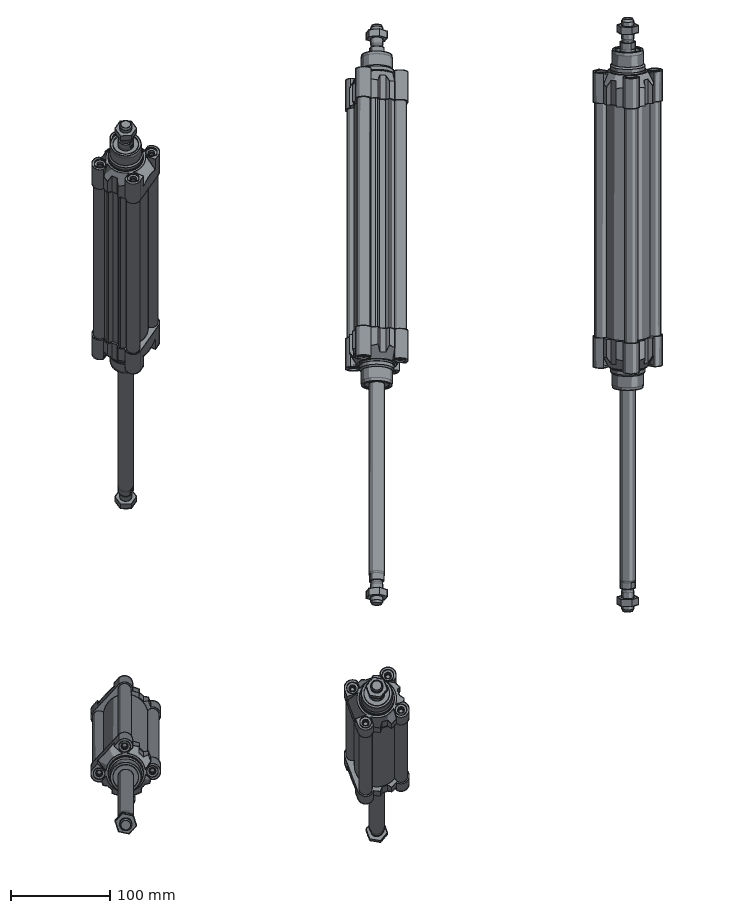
import cadquery as cq
import math


TOTAL_LENGTH = 613.0
CAP_TO_TIP = 54.0
BODY_BOTTOM = 254.0
BODY_TOP = TOTAL_LENGTH - CAP_TO_TIP
CAP_HEIGHT = 31.0
BARREL_BOTTOM = BODY_BOTTOM + CAP_HEIGHT
BARREL_TOP = BODY_TOP - CAP_HEIGHT

CAP_WIDTH = 54.5
POST_DIAMETER = 16.5
POST_OFFSET = (CAP_WIDTH - POST_DIAMETER) / 2
BARREL_WIDTH = 51.5
LOBE_DIAMETER = BARREL_WIDTH - 2 * POST_OFFSET
BARREL_WALL_DIAMETER = 45.5

RIB_FOOT_HALF = 12.0
RIB_FOOT_DEPTH = 24.0
RIB_PEAK_HALF = 6.0
RIB_PEAK_DEPTH = 27.0
SLOT_FLOOR_HALF = 3.0
SLOT_FLOOR_DEPTH = 23.0
BARREL_RIB_DROP = 2.0
BARREL_RIB_TIP_WIDTH = 2.0

RELIEF_TOP_DIAMETER = 40.0
RELIEF_DEPTH = 15.5
RELIEF_FLARE = 0.6

SCREW_HOLE_STEPS = [(11.5, 2.0), (7.0, 5.0), (5.0, 9.0)]

COLLAR_FOOT_DIAMETER = 35.5
COLLAR_FOOT_HEIGHT = 2.0
COLLAR_DIAMETER = 35.0
COLLAR_HEIGHT = 5.5
COLLAR_CHAMFER = 2.0
BOSS_DIAMETER = 32.0
BOSS_HEIGHT = 22.0
BOSS_CHAMFER_WIDTH = 0.5
BOSS_CHAMFER_HEIGHT = 3.0
SEAL_RECESS_DIAMETER = 26.0
SEAL_RECESS_DEPTH = 1.0

ROD_DIAMETER = 16.0
THREAD_DIAMETER = 12.0
THREAD_LENGTH = 24.0
TIP_DIAMETER = 10.0
TIP_HEIGHT = 2.5
UNDERCUT_DIAMETER = 11.5
UNDERCUT_LENGTH = 2.0
UNDERCUT_TAPER = 2.0
NECK_DIAMETER = 15.5
NECK_TAPER = 2.0
WRENCH_WIDTH = 13.5
WRENCH_LENGTH = 7.0

NUT_ACROSS_FLATS = 19.0
NUT_THICKNESS = 7.5
NUT_TIP_DISTANCE = 7.0


def corner_points():
    return [(x, y) for x in (-POST_OFFSET, POST_OFFSET) for y in (-POST_OFFSET, POST_OFFSET)]


def mirrored_profile(half_outline, height):
    """Extrude a half outline of (x, depth) points, mirrored in X, on the -Y side."""
    right = [(x, -depth) for x, depth in half_outline]
    left = [(-x, y) for x, y in reversed(right)]
    return cq.Workplane("XY").polyline(right + left).close().extrude(height)


def ribbed_side(drop, height, tip_width=0):
    """Block from the axis to two ribs on -Y, lowered by `drop`, before the slot is cut."""
    half_outline = [(RIB_FOOT_HALF, 0), (RIB_FOOT_HALF, RIB_FOOT_DEPTH - drop)]
    if tip_width > 0:
        half_outline.append((RIB_PEAK_HALF + tip_width, RIB_PEAK_DEPTH - drop))
    half_outline.append((RIB_PEAK_HALF, RIB_PEAK_DEPTH - drop))
    return mirrored_profile(half_outline, height)


def rib_slot(drop, height):
    """V-walled slot between the two ribs of a -Y side."""
    half_outline = [
        (RIB_PEAK_HALF, RIB_PEAK_DEPTH - drop),
        (SLOT_FLOOR_HALF, SLOT_FLOOR_DEPTH - drop),
    ]
    return mirrored_profile(half_outline, height)


def make_barrel():
    """Round wall with four corner lobes; the -Y side carries a ribbed sensor slot."""
    height = BARREL_TOP - BARREL_BOTTOM
    barrel = cq.Workplane("XY").circle(BARREL_WALL_DIAMETER / 2).extrude(height)
    lobes = cq.Workplane("XY").pushPoints(corner_points()).circle(LOBE_DIAMETER / 2).extrude(height)
    barrel = barrel.union(lobes)
    barrel = barrel.union(ribbed_side(BARREL_RIB_DROP, height, BARREL_RIB_TIP_WIDTH))
    barrel = barrel.cut(rib_slot(BARREL_RIB_DROP, height))
    return barrel.translate((0, 0, BARREL_BOTTOM))


def cap_block():
    """Four posts joined by a square core, ribbed on three sides and flat on +X."""
    core_width = 2 * POST_OFFSET
    block = cq.Workplane("XY").rect(core_width, core_width).extrude(CAP_HEIGHT)
    posts = cq.Workplane("XY").pushPoints(corner_points()).circle(POST_DIAMETER / 2).extrude(CAP_HEIGHT)
    block = block.union(posts)
    for angle in (0, -90, 180):
        side = ribbed_side(0, CAP_HEIGHT).cut(rib_slot(0, CAP_HEIGHT))
        block = block.union(side.rotate((0, 0, 0), (0, 0, 1), angle))
    flat_side = cq.Workplane("XY").rect(CAP_WIDTH / 2, core_width).extrude(CAP_HEIGHT)
    return block.union(flat_side.translate((CAP_WIDTH / 4, 0, 0)))


def cap_relief():
    """Space outside the cone, limited to the strips between the posts."""
    top_radius = RELIEF_TOP_DIAMETER / 2
    bottom_radius = top_radius + RELIEF_FLARE * RELIEF_DEPTH
    outer = CAP_WIDTH
    bottom = CAP_HEIGHT - RELIEF_DEPTH
    ring = (
        cq.Workplane("XZ")
        .polyline([(top_radius, CAP_HEIGHT), (outer, CAP_HEIGHT), (outer, bottom), (bottom_radius, bottom)])
        .close()
        .revolve()
    )
    strip = 2 * RIB_FOOT_HALF
    cross = cq.Workplane("XY").rect(2 * outer, strip).extrude(CAP_HEIGHT)
    cross = cross.union(cq.Workplane("XY").rect(strip, 2 * outer).extrude(CAP_HEIGHT))
    return ring.intersect(cross)


def cap_boss():
    """Collar and boss turned as one, standing on the outer face of the cap."""
    collar_radius = COLLAR_DIAMETER / 2
    foot_radius = COLLAR_FOOT_DIAMETER / 2
    boss_radius = BOSS_DIAMETER / 2
    outline = [
        (0, 0),
        (foot_radius, 0),
        (foot_radius, COLLAR_FOOT_HEIGHT),
        (collar_radius, COLLAR_FOOT_HEIGHT),
        (collar_radius, COLLAR_HEIGHT),
        (boss_radius, COLLAR_HEIGHT + COLLAR_CHAMFER),
        (boss_radius, BOSS_HEIGHT - BOSS_CHAMFER_HEIGHT),
        (boss_radius - BOSS_CHAMFER_WIDTH, BOSS_HEIGHT),
        (0, BOSS_HEIGHT),
    ]
    boss = cq.Workplane("XZ").polyline(outline).close().revolve()
    return boss.translate((0, 0, CAP_HEIGHT))


def make_cap():
    """Cap with its inner face on Z = 0 and its boss pointing up."""
    cap = cap_block().cut(cap_relief()).union(cap_boss())
    cap = (
        cap.faces(">Z")
        .workplane(origin=(0, 0, 0))
        .circle(SEAL_RECESS_DIAMETER / 2)
        .cutBlind(-SEAL_RECESS_DEPTH)
    )
    post_tops = cq.Workplane("XY", origin=(0, 0, CAP_HEIGHT)).pushPoints(corner_points())
    for diameter, depth in SCREW_HOLE_STEPS:
        cap = cap.cut(post_tops.circle(diameter / 2).extrude(-depth))
    rod_hole = cq.Workplane("XY").circle(ROD_DIAMETER / 2).extrude(CAP_HEIGHT + BOSS_HEIGHT)
    return cap.cut(rod_hole)


def make_rod(length):
    """Rod standing on Z = 0 with its threaded tip at the top."""
    shoulder = length - THREAD_LENGTH
    neck_start = shoulder - WRENCH_LENGTH
    undercut_end = shoulder + UNDERCUT_LENGTH
    outline = [
        (0, 0),
        (ROD_DIAMETER / 2, 0),
        (ROD_DIAMETER / 2, neck_start - NECK_TAPER),
        (NECK_DIAMETER / 2, neck_start),
        (NECK_DIAMETER / 2, shoulder),
        (UNDERCUT_DIAMETER / 2, shoulder),
        (UNDERCUT_DIAMETER / 2, undercut_end),
        (THREAD_DIAMETER / 2, undercut_end + UNDERCUT_TAPER),
        (THREAD_DIAMETER / 2, length - TIP_HEIGHT),
        (TIP_DIAMETER / 2, length),
        (0, length),
    ]
    rod = cq.Workplane("XZ").polyline(outline).close().revolve()
    flat_depth = (ROD_DIAMETER - WRENCH_WIDTH) / 2
    for side in (-1, 1):
        flat = cq.Workplane("XY").box(flat_depth, ROD_DIAMETER, WRENCH_LENGTH)
        x = side * (WRENCH_WIDTH + flat_depth) / 2
        rod = rod.cut(flat.translate((x, 0, shoulder - WRENCH_LENGTH / 2)))
    return rod


def make_nut():
    """Hexagon nut on Z = 0 with two flats facing X."""
    across_corners = NUT_ACROSS_FLATS / math.cos(math.pi / 6)
    nut = cq.Workplane("XY").polygon(6, across_corners).extrude(NUT_THICKNESS)
    nut = nut.rotate((0, 0, 0), (0, 0, 1), 30)
    return nut.cut(cq.Workplane("XY").circle(THREAD_DIAMETER / 2).extrude(NUT_THICKNESS))


def turn_over(body):
    """Turn a body upside down about the X axis."""
    return body.rotate((0, 0, 0), (1, 0, 0), 180)


barrel = make_barrel()
solids = [barrel.val()]
for upper in (True, False):
    inner_face = BARREL_TOP if upper else BARREL_BOTTOM
    rod_length = TOTAL_LENGTH - BARREL_TOP if upper else BARREL_BOTTOM
    cap = make_cap()
    rod = make_rod(rod_length)
    nut = make_nut().translate((0, 0, rod_length - NUT_TIP_DISTANCE - NUT_THICKNESS))
    for body in (cap, rod, nut):
        placed = body if upper else turn_over(body)
        solids.append(placed.translate((0, 0, inner_face)).val())

result = cq.Compound.makeCompound(solids)